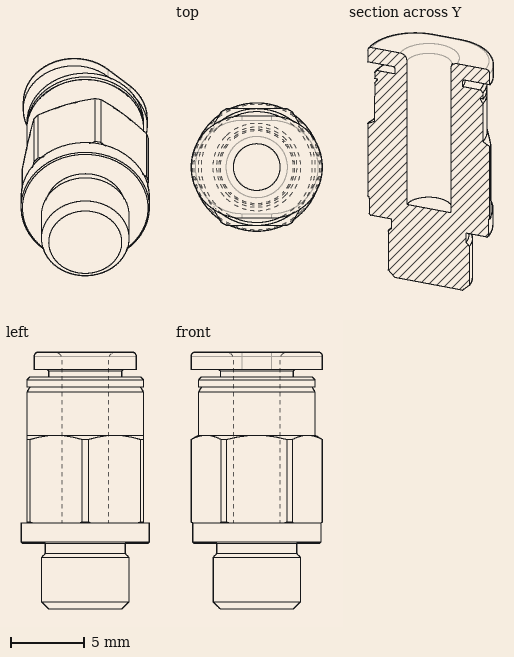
import cadquery as cq
import math

THREAD_RADIUS = 3.0
THREAD_TIP_CHAMFER = 0.5
THREAD_RELIEF_RADIUS = 2.75
THREAD_RELIEF_BASE = 3.8

FLANGE_RADIUS = 4.4
FLANGE_BASE = 4.5
FLANGE_CHAMFER = 0.1

HEX_SIDES = 6
HEX_BASE = 5.9
HEX_HEIGHT = 6.0
HEX_ACROSS_FLATS = 8.0
HEX_CORNER_RADIUS = 4.5
HEX_CHAMFER_ANGLE = 30.0

BODY_RADIUS = HEX_ACROSS_FLATS / 2
BODY_TOP = 15.9
BODY_CHAMFER = 0.2
GROOVE_RADIUS = 3.8
GROOVE_BASE = 14.85
GROOVE_TOP = 15.2

STEM_RADIUS = 2.5
STEM_FLARE = 0.1
BUTTON_BASE = 16.4
BUTTON_TOP = 17.6
BUTTON_LENGTH = 9.0
BUTTON_WIDTH = 7.0
BUTTON_FILLET = 0.3

BORE_RADIUS = 1.6
BORE_FLOOR = HEX_BASE
BORE_MOUTH_FILLET = 0.5


def revolve_profile(points):
    """Turn an (r, z) outline about the Z axis."""
    return cq.Workplane("XZ").polyline(points).close().revolve(360, (0, 0, 0), (0, 1, 0))


def make_turned_core():
    """Thread, relief, flange, round body and stem as one turned solid."""
    thread_end = THREAD_RELIEF_BASE - (THREAD_RADIUS - THREAD_RELIEF_RADIUS)
    return revolve_profile([
        (0, 0),
        (THREAD_RADIUS - THREAD_TIP_CHAMFER, 0),
        (THREAD_RADIUS, THREAD_TIP_CHAMFER),
        (THREAD_RADIUS, thread_end),
        (THREAD_RELIEF_RADIUS, THREAD_RELIEF_BASE),
        (THREAD_RELIEF_RADIUS, FLANGE_BASE),
        (FLANGE_RADIUS - FLANGE_CHAMFER, FLANGE_BASE),
        (FLANGE_RADIUS, FLANGE_BASE + FLANGE_CHAMFER),
        (FLANGE_RADIUS, HEX_BASE),
        (BODY_RADIUS, HEX_BASE),
        (BODY_RADIUS, GROOVE_BASE),
        (GROOVE_RADIUS, GROOVE_TOP),
        (BODY_RADIUS, GROOVE_TOP),
        (BODY_RADIUS, BODY_TOP - BODY_CHAMFER),
        (BODY_RADIUS - BODY_CHAMFER, BODY_TOP),
        (STEM_RADIUS, BODY_TOP),
        (STEM_RADIUS, BUTTON_BASE - STEM_FLARE),
        (STEM_RADIUS + STEM_FLARE, BUTTON_BASE),
        (0, BUTTON_BASE),
    ])


def make_hexagon():
    """Hexagon with corners along X, rounded corners and conical chamfers at both ends."""
    across_corners = HEX_ACROSS_FLATS / math.cos(math.pi / HEX_SIDES)
    prism = cq.Workplane("XY").workplane(offset=HEX_BASE).polygon(HEX_SIDES, across_corners).extrude(HEX_HEIGHT)
    hex_top = HEX_BASE + HEX_HEIGHT
    chamfer_slope = math.tan(math.radians(HEX_CHAMFER_ANGLE))
    top_chamfer = (HEX_CORNER_RADIUS - BODY_RADIUS) * chamfer_slope
    bottom_chamfer = (HEX_CORNER_RADIUS - FLANGE_RADIUS) * chamfer_slope
    envelope = revolve_profile([
        (0, HEX_BASE),
        (FLANGE_RADIUS, HEX_BASE),
        (HEX_CORNER_RADIUS, HEX_BASE + bottom_chamfer),
        (HEX_CORNER_RADIUS, hex_top - top_chamfer),
        (BODY_RADIUS, hex_top),
        (0, hex_top),
    ])
    return prism.intersect(envelope)


def make_button():
    """Oblong release button with a rounded top rim."""
    button = (
        cq.Workplane("XY")
        .workplane(offset=BUTTON_BASE)
        .slot2D(BUTTON_LENGTH, BUTTON_WIDTH)
        .extrude(BUTTON_TOP - BUTTON_BASE)
    )
    return button.faces(">Z").edges().fillet(BUTTON_FILLET)


def make_bore():
    """Blind tube bore whose mouth flares out along a quarter-circle rounding."""
    mouth_radius = BORE_RADIUS + BORE_MOUTH_FILLET
    arc_offset = BORE_MOUTH_FILLET * (1 - math.cos(math.pi / 4))
    return (
        cq.Workplane("XZ")
        .moveTo(0, BORE_FLOOR)
        .lineTo(BORE_RADIUS, BORE_FLOOR)
        .lineTo(BORE_RADIUS, BUTTON_TOP - BORE_MOUTH_FILLET)
        .threePointArc((BORE_RADIUS + arc_offset, BUTTON_TOP - arc_offset), (mouth_radius, BUTTON_TOP))
        .lineTo(0, BUTTON_TOP)
        .close()
        .revolve(360, (0, 0, 0), (0, 1, 0))
    )


result = make_turned_core().union(make_hexagon()).union(make_button()).cut(make_bore())